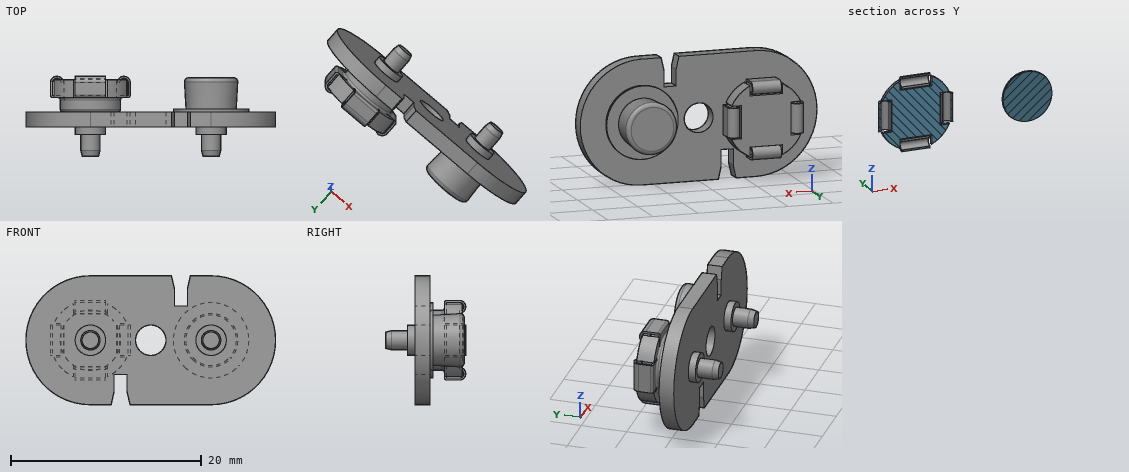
import cadquery as cq


plate_length = 26.3
plate_height = 13.6
plate_thickness = 1.6
terminal_spacing = plate_length - plate_height
plate_hole_diameter = 3.18

slot_offset = terminal_spacing / 4
slot_depth = 3.18
slot_width = 1.35
slot_mouth_width = 1.97
slot_mouth_depth = 1.4

collar_radius = 1.6
collar_length = 0.8
pin_radius = 1.03
pin_tip_radius = 0.87
pin_length = 3.08
pin_taper_length = 0.63

flange_radius = 3.97
flange_thickness = 0.32
stud_root_radius = 2.65
stud_head_radius = 2.8
stud_height = 3.6
stud_rounding = 0.45

neck_radius = 3.18
neck_rounding = 0.25
neck_flare = 0.24
ring_radius = 4.23
ring_bottom = 1.5
ring_top = 3.4

clip_count = 4
clip_reach = 4.2
clip_width = 3.2
clip_thickness = 0.24
clip_bend_radius = 0.25
clip_top = 3.75
curl_radius = 0.68
clip_slot_width = 3.58
clip_slot_floor = 2.75


def turned(profile):
    """Solid of revolution about Y from a closed (radius, Y) profile."""
    return profile.close().revolve(360, (0, 0, 0), (0, 1, 0))


def make_edge_slot():
    """Cutter for the slot in the top edge: parallel sides that flare out at the mouth."""
    edge = plate_height / 2
    right_side = [
        (slot_width / 2, edge - slot_depth),
        (slot_width / 2, edge - slot_mouth_depth),
        (slot_mouth_width / 2, edge),
    ]
    left_side = [(-x, z) for x, z in reversed(right_side)]
    cutter = cq.Workplane("XZ").polyline(right_side + left_side).close().extrude(-plate_thickness)
    return cutter.translate((slot_offset, 0, 0))


def make_plate():
    """Plate with round ends, a central hole and two edge slots half a turn apart."""
    plate = cq.Workplane("XZ").slot2D(plate_length, plate_height).extrude(-plate_thickness)
    hole = cq.Workplane("XZ").circle(plate_hole_diameter / 2).extrude(-plate_thickness)
    edge_slot = make_edge_slot()
    opposite_slot = edge_slot.rotate((0, 0, 0), (0, 1, 0), 180)
    return plate.cut(hole).cut(edge_slot).cut(opposite_slot)


def make_pin(x):
    """Pin with a collar against the front face and a tapered tip."""
    profile = cq.Workplane("XY").polyline([
        (0, 0),
        (collar_radius, 0),
        (collar_radius, -collar_length),
        (pin_radius, -collar_length),
        (pin_radius, pin_taper_length - pin_length),
        (pin_tip_radius, -pin_length),
        (0, -pin_length),
    ])
    return turned(profile).translate((x, 0, 0))


def make_male_snap(x):
    """Thin flange carrying a stud that widens towards its rounded head."""
    profile = (
        cq.Workplane("XY")
        .lineTo(flange_radius, 0)
        .lineTo(flange_radius, flange_thickness)
        .lineTo(stud_root_radius, flange_thickness)
        .lineTo(stud_head_radius, stud_height - stud_rounding)
        .radiusArc((stud_head_radius - stud_rounding, stud_height), -stud_rounding)
        .lineTo(0, stud_height)
    )
    return turned(profile).translate((x, plate_thickness, 0))


def make_clip():
    """Spring clip on the +X side: a leg out of the ring, a wall, and a half-round curl back inwards."""
    curl_axis = clip_reach - curl_radius
    curl_start = clip_top - curl_radius
    inner_radius = curl_radius - clip_thickness
    wall_inside = clip_reach - clip_thickness
    leg_top = ring_bottom + clip_thickness
    bend_start = (clip_reach - clip_bend_radius, ring_bottom)
    bend_end = (clip_reach, ring_bottom + clip_bend_radius)
    return (
        cq.Workplane("XY")
        .moveTo(clip_slot_floor, ring_bottom)
        .lineTo(*bend_start)
        .radiusArc(bend_end, -clip_bend_radius)
        .lineTo(clip_reach, curl_start)
        .threePointArc((curl_axis, clip_top), (curl_axis - curl_radius, curl_start))
        .lineTo(curl_axis - inner_radius, curl_start)
        .threePointArc((curl_axis, curl_start + inner_radius), (wall_inside, curl_start))
        .lineTo(wall_inside, leg_top)
        .lineTo(clip_slot_floor, leg_top)
        .close()
        .extrude(clip_width / 2, both=True)
    )


def make_clip_slot():
    """Cutter for the flat-bottomed ring slot behind the +X clip."""
    slot_reach = ring_radius - clip_slot_floor
    return cq.Workplane("XY").box(
        slot_reach, ring_top - ring_bottom, clip_slot_width, centered=(False, False, True)
    ).translate((clip_slot_floor, ring_bottom, 0))


def make_female_snap(x):
    """Neck and ring with four slots, each holding a spring clip."""
    profile = (
        cq.Workplane("XY")
        .lineTo(neck_radius - neck_rounding, 0)
        .radiusArc((neck_radius, neck_rounding), -neck_rounding)
        .lineTo(neck_radius, ring_bottom - neck_flare)
        .radiusArc((neck_radius + neck_flare, ring_bottom), neck_flare)
        .lineTo(ring_radius, ring_bottom)
        .lineTo(ring_radius, ring_top)
        .lineTo(0, ring_top)
    )
    snap = turned(profile)
    clip_slot = make_clip_slot()
    clip = make_clip()
    for index in range(clip_count):
        angle = index * 360 / clip_count
        snap = snap.cut(clip_slot.rotate((0, 0, 0), (0, 1, 0), angle))
        snap = snap.union(clip.rotate((0, 0, 0), (0, 1, 0), angle))
    return snap.translate((x, plate_thickness, 0))


female_x = -terminal_spacing / 2
male_x = terminal_spacing / 2

plate = make_plate()
pins = [make_pin(x) for x in (female_x, male_x)]
female_snap = make_female_snap(female_x)
male_snap = make_male_snap(male_x)

result = cq.Compound.makeCompound([
    plate.val(),
    *[pin.val() for pin in pins],
    female_snap.val(),
    male_snap.val(),
])